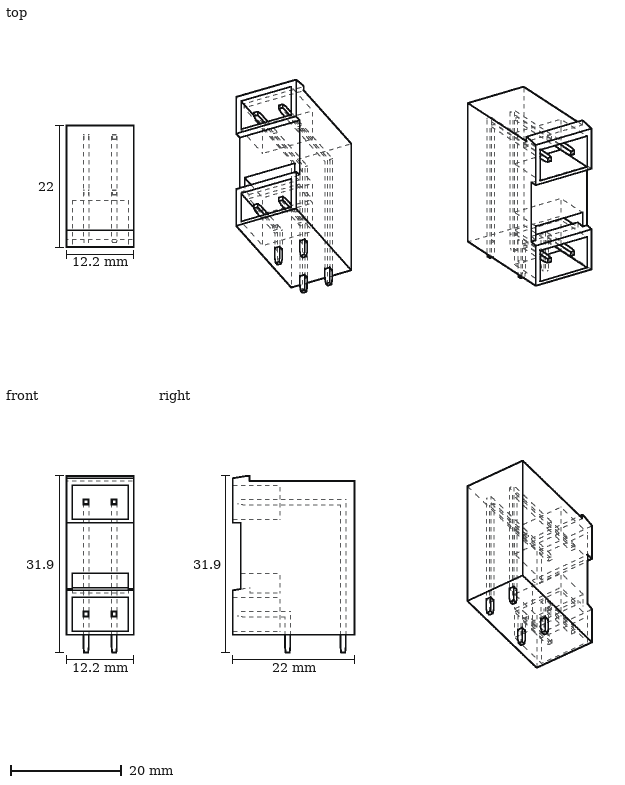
import cadquery as cq

housing_width = 12.15
housing_depth = 22.0
overall_height = 31.88

bank_pitch = 20.2
socket_width = 10.15
socket_height = 6.2
socket_floor = 0.65
socket_depth = 8.5

lip_depth = 3.05
lip_crest = 0.57
lip_height = 0.9
lip_drop = 0.4

step_depth = 1.45
pocket_top = 11.13

pin_size = 1.0
pin_tip_size = 0.75
pin_taper = 1.02
pin_spacing = 5.07
pin_tip_depth = 0.9
pin_height = 3.8
tail_length = 3.2
front_tail_y = 9.9
tail_pitch = 10.0

crest_top = overall_height - tail_length
roof = crest_top - lip_height
lip_front_top = crest_top - lip_drop
slope_length = lip_depth - lip_crest
lower_crest = crest_top - bank_pitch
lower_front_top = lip_front_top - bank_pitch
lower_step_top = lower_front_top + lip_drop * step_depth / slope_length
pocket_floor = roof - bank_pitch


def extrude_profile(points, width):
    """Extrude a (Y, Z) outline along X, centred on X = 0."""
    return cq.Workplane("YZ").polyline(points).close().extrude(width / 2, both=True)


def make_body():
    """Side outline of the housing with the lip on top and the step in front."""
    outline = [
        (0, 0),
        (0, lower_front_top),
        (step_depth, lower_step_top),
        (step_depth, bank_pitch),
        (0, bank_pitch),
        (0, lip_front_top),
        (slope_length, crest_top),
        (lip_depth, crest_top),
        (lip_depth, roof),
        (housing_depth, roof),
        (housing_depth, 0),
    ]
    return extrude_profile(outline, housing_width)


def make_socket(bank_z):
    """Rectangular cavity that opens at the front of one bank."""
    return cq.Workplane("XY").box(
        socket_width, socket_depth, socket_height, centered=(True, False, False)
    ).translate((0, 0, bank_z + socket_floor))


def make_latch_pocket():
    """Pocket above the lower lip, open at the stepped-back face."""
    outline = [
        (step_depth, lower_step_top),
        (slope_length, lower_crest),
        (lip_depth, lower_crest),
        (lip_depth, pocket_floor),
        (socket_depth, pocket_floor),
        (socket_depth, pocket_top),
        (step_depth, pocket_top),
    ]
    return extrude_profile(outline, socket_width)


def make_leg(length):
    """Square leg along +Z from the origin, tapered at its far end."""
    shank_length = length - pin_taper
    shank = cq.Workplane("XY").rect(pin_size, pin_size).extrude(shank_length)
    taper = (
        cq.Workplane("XY", origin=(0, 0, shank_length))
        .rect(pin_size, pin_size)
        .workplane(offset=pin_taper)
        .rect(pin_tip_size, pin_tip_size)
        .loft()
    )
    return shank.union(taper)


def make_pin(x, tail_y, contact_z):
    """L-shaped pin: a contact pointing to the front and a tail pointing down."""
    x_axis = (1, 0, 0)
    contact = make_leg(tail_y - pin_tip_depth).rotate((0, 0, 0), x_axis, 90)
    tail = make_leg(contact_z + tail_length).rotate((0, 0, 0), x_axis, 180)
    elbow = cq.Workplane("XY").box(pin_size, pin_size, pin_size)
    return contact.union(tail).union(elbow).translate((x, tail_y, contact_z))


pins = []
for bank in range(2):
    for side in (-1, 1):
        pin = make_pin(
            side * pin_spacing / 2,
            front_tail_y + bank * tail_pitch,
            pin_height + bank * bank_pitch,
        )
        pins.append(pin)

housing = make_body().cut(make_latch_pocket())
for bank in range(2):
    housing = housing.cut(make_socket(bank * bank_pitch))
for pin in pins:
    housing = housing.cut(pin)

result = cq.Compound.makeCompound([housing.solids().val(), *[pin.solids().val() for pin in pins]])